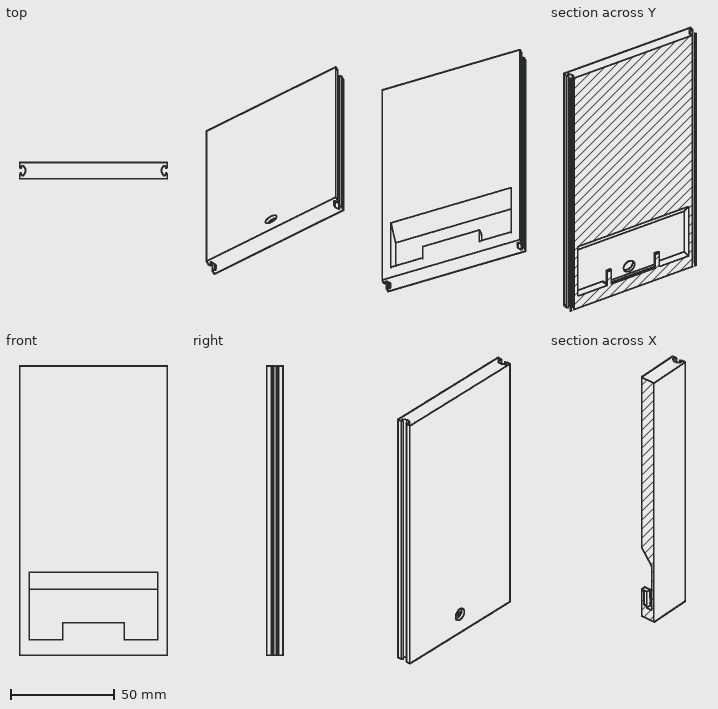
import cadquery as cq

width = 71.5
thickness = 8.0
height = 140.0
front = -thickness / 2
side = width / 2

groove_mouth = 3.8
groove_neck = 2.1
groove_lip = 0.5
groove_inner_lip = 0.7
groove_width = 4.6
groove_shoulder_near = 1.1
groove_shoulder_far = 1.8
groove_depth = 2.8
groove_floor = 1.4

pocket_width = 62.3
pocket_depth = 6.2
pocket_bottom = 7.5
pocket_top = 40.2
slope_height = 8.1

tab_width = 29.5
tab_top = 15.8
tab_thickness = 1.7
rib_width = 2.4
rib_thickness = 3.4

recess_depth = 1.1

hole_diameter = 6.2
hole_height = 10.8


def make_panel():
    return cq.Workplane("XY").box(width, thickness, height, centered=(True, True, False))


def make_left_groove():
    half_profile = [
        (0, groove_mouth / 2),
        (groove_lip, groove_neck / 2),
        (groove_inner_lip, groove_neck / 2),
        (groove_shoulder_near, groove_width / 2),
        (groove_shoulder_far, groove_width / 2),
        (groove_depth, groove_floor / 2),
    ]
    mirrored = [(x, -y) for x, y in reversed(half_profile)]
    profile = cq.Workplane("XY").polyline(half_profile + mirrored).close()
    return profile.extrude(height).translate((-side, 0, 0))


def make_pocket():
    floor = front + pocket_depth
    profile = [
        (front, pocket_bottom),
        (floor, pocket_bottom),
        (floor, pocket_top - slope_height),
        (front, pocket_top),
    ]
    return cq.Workplane("YZ").polyline(profile).close().extrude(pocket_width / 2, both=True)


def make_front_block(block_width, block_thickness, center_x):
    """Block flush with the front face, from the pocket's lower wall to the tab top."""
    block = cq.Workplane("XY").box(
        block_width, block_thickness, tab_top - pocket_bottom, centered=(True, False, False)
    )
    return block.translate((center_x, front, pocket_bottom))


def make_tab():
    tab = make_front_block(tab_width, tab_thickness, 0)
    for direction in (-1, 1):
        rib_x = direction * (tab_width - rib_width) / 2
        tab = tab.union(make_front_block(rib_width, rib_thickness, rib_x))
    return tab


def make_recess():
    recess_length = pocket_depth - rib_thickness
    recess = cq.Workplane("XY").box(tab_width, recess_length, recess_depth, centered=(True, False, False))
    return recess.translate((0, front + rib_thickness, pocket_bottom - recess_depth))


def make_hole():
    start = front + rib_thickness
    hole = cq.Workplane("XZ", origin=(0, start, hole_height)).circle(hole_diameter / 2)
    return hole.extrude(-thickness)


left_groove = make_left_groove()
result = make_panel().cut(left_groove).cut(left_groove.mirror("YZ"))
result = result.cut(make_pocket()).union(make_tab()).cut(make_recess()).cut(make_hole())